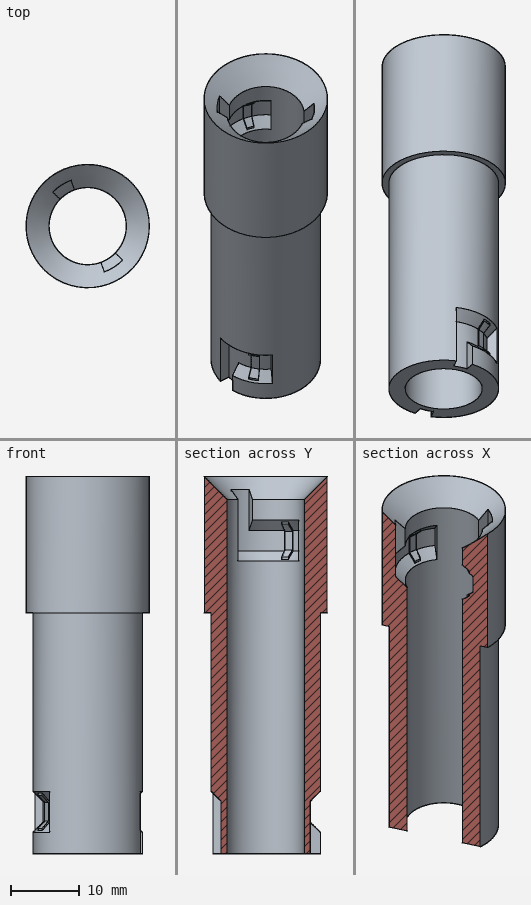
import cadquery as cq

total_length = 55.0
head_diameter = 18.0
head_length = 19.9
body_diameter = 16.0
bore_diameter = 11.2
head_radius = head_diameter / 2
body_radius = body_diameter / 2
bore_radius = bore_diameter / 2
mouth_depth = head_radius - bore_radius

channel_depth = 1.5
channel_height = 6.0
plug_channel_bottom = 3.15
socket_channel_top = 48.6
plug_floor_radius = body_radius - channel_depth
socket_floor_radius = bore_radius + channel_depth
overcut = 0.3

plug_entry_start, plug_entry_end = 163.6, 181.8
plug_channel_end = 225.9
plug_rib_start, plug_rib_end = 200.2, 211.0
socket_entry_start, socket_entry_end = 110.0, 135.8
socket_channel_start = 31.5
socket_rib_start, socket_rib_end = 55.9, 66.6

rib_height = 0.15
rib_setback = 0.3
rib_root = 0.1


def swept_sector(profile, start, end):
    """Turn an (r, z) outline about Z from the start angle to the end angle."""
    solid = cq.Workplane("XZ").polyline(profile).close().revolve(end - start, (0, 0, 0), (0, 1, 0))
    return solid.rotate((0, 0, 0), (0, 0, 1), start)


def ring_sector(inner, outer, bottom, top, start, end):
    profile = [(inner, bottom), (outer, bottom), (outer, top), (inner, top)]
    return swept_sector(profile, start, end)


def channel(floor, outward, bottom, start, end):
    """Trapezoidal channel; outward is +1 if it opens away from the axis, -1 if toward it."""
    top = bottom + channel_height
    opening = floor + outward * (channel_depth + overcut)
    profile = [
        (floor, bottom + channel_depth),
        (opening, bottom - overcut),
        (opening, top + overcut),
        (floor, top - channel_depth),
    ]
    return swept_sector(profile, start, end)


def detent_rib(floor, outward, bottom, start, end):
    """Thin lining over the floor and both sloping walls of a channel, rooted in the wall behind."""
    top = bottom + channel_height
    root = floor - outward * rib_root
    face = floor + outward * rib_height
    lip = floor + outward * (channel_depth - rib_setback)
    profile = [
        (root, bottom + rib_setback - rib_root),
        (lip, bottom + rib_setback - rib_root),
        (lip, bottom + rib_setback + 2 * rib_height),
        (face, bottom + channel_depth + rib_height),
        (face, top - channel_depth - rib_height),
        (lip, top - rib_setback - 2 * rib_height),
        (lip, top - rib_setback + rib_root),
        (root, top - rib_setback + rib_root),
    ]
    return swept_sector(profile, start, end)


def both_sides(shape):
    return shape.union(shape.rotate((0, 0, 0), (0, 0, 1), 180))


tube = (
    cq.Workplane("XZ")
    .polyline([
        (bore_radius, 0),
        (body_radius, 0),
        (body_radius, total_length - head_length),
        (head_radius, total_length - head_length),
        (head_radius, total_length),
        (bore_radius, total_length - mouth_depth),
    ])
    .close()
    .revolve(360, (0, 0, 0), (0, 1, 0))
)

plug_channel = channel(plug_floor_radius, 1, plug_channel_bottom, plug_entry_start, plug_channel_end)
plug_entry = ring_sector(
    plug_floor_radius, body_radius + overcut, -overcut, plug_channel_bottom + channel_height / 2,
    plug_entry_start, plug_entry_end,
)
plug_rib = detent_rib(plug_floor_radius, 1, plug_channel_bottom, plug_rib_start, plug_rib_end)
plug_cut = plug_channel.union(plug_entry)

socket_channel_bottom = socket_channel_top - channel_height
socket_channel = channel(
    socket_floor_radius, -1, socket_channel_bottom, socket_channel_start, socket_entry_end
)
socket_entry = ring_sector(
    bore_radius - overcut, socket_floor_radius, socket_channel_top - channel_height / 2, total_length,
    socket_entry_start, socket_entry_end,
)
socket_rib = detent_rib(socket_floor_radius, -1, socket_channel_bottom, socket_rib_start, socket_rib_end)
socket_cut = socket_channel.union(socket_entry)

result = (
    tube.cut(both_sides(plug_cut))
    .cut(both_sides(socket_cut))
    .union(both_sides(plug_rib))
    .union(both_sides(socket_rib))
)